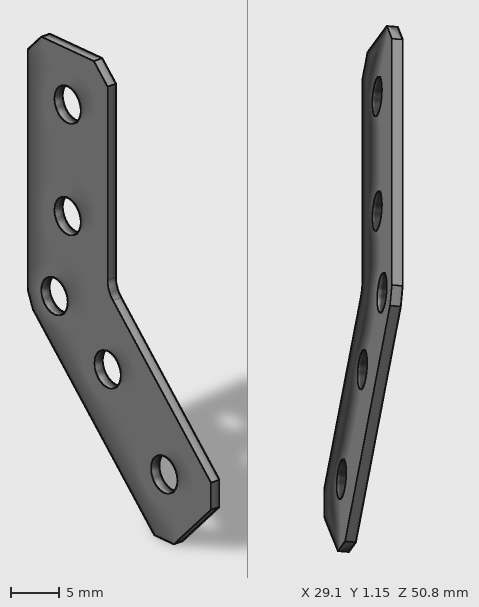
import cadquery as cq
import math

pitch = 12.7
hole_diameter = 4.15
thickness = 1.15
corner_cut = 2.2
elbow_cut = 1.15
inner_radius = 2.85
corner_hole_offset = 4.25
corner_hole_drop = 28.85
first_hole_drop = pitch / 2
bend = math.radians(45)

inner_length = 2 * pitch
arm_length = inner_length + pitch * math.tan(bend / 2)

along = (math.sin(bend), -math.cos(bend))
across = (math.cos(bend), math.sin(bend))


def lower_arm_point(distance, offset):
    """Point at a distance from the outer elbow corner, offset across the arm."""
    return (
        distance * along[0] + offset * across[0],
        -arm_length + distance * along[1] + offset * across[1],
    )


inner_elbow = (pitch, -inner_length)

outline = [
    (0, -corner_cut),
    (corner_cut, 0),
    (pitch - corner_cut, 0),
    (pitch, -corner_cut),
    inner_elbow,
    lower_arm_point(arm_length - corner_cut, pitch),
    lower_arm_point(arm_length, pitch - corner_cut),
    lower_arm_point(arm_length, corner_cut),
    lower_arm_point(arm_length - corner_cut, 0),
    lower_arm_point(elbow_cut, 0),
    (0, elbow_cut - arm_length),
]

plate = cq.Workplane("XZ").polyline(outline).close().extrude(thickness)
elbow_edge = cq.selectors.NearestToPointSelector((inner_elbow[0], -thickness / 2, inner_elbow[1]))
plate = plate.edges("|Y").edges(elbow_edge).fillet(inner_radius)

end_hole = arm_length - first_hole_drop
hole_centers = [
    (pitch / 2, -first_hole_drop),
    (pitch / 2, -first_hole_drop - pitch),
    lower_arm_point(end_hole, pitch / 2),
    lower_arm_point(end_hole - pitch, pitch / 2),
    (corner_hole_offset, -corner_hole_drop),
]
holes = cq.Workplane("XZ").pushPoints(hole_centers).circle(hole_diameter / 2).extrude(thickness)
result = plate.cut(holes)